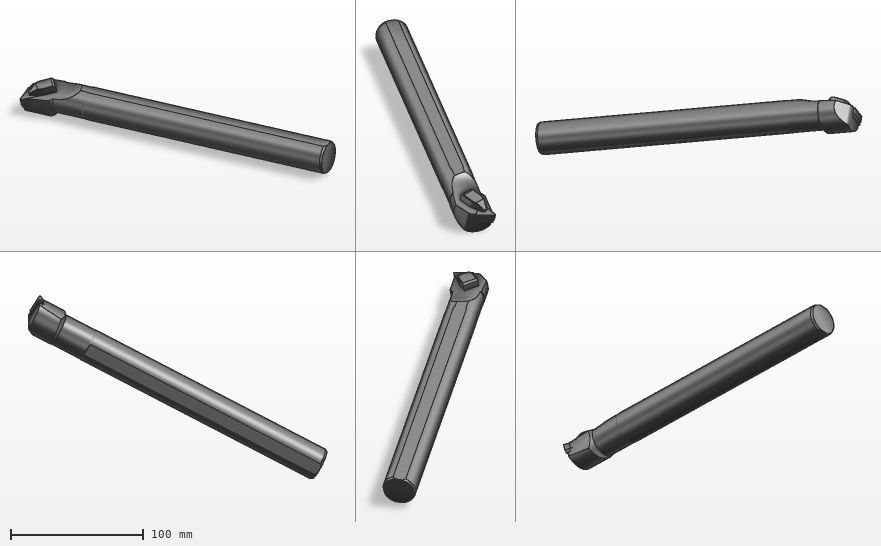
import cadquery as cq
import math


total_length = 250.0
shank_diameter = 25.0
flat_distance = 11.5
shank_start = 50.0
start_chamfer_length = 1.0
end_chamfer_length = 1.8
end_chamfer_depth = 0.8
neck_diameter = 24.5
neck_start = 25.2

head_radius = 14.8
head_offset_y = -2.2
shoulder_angle = 45.0
head_front = 1.0
corner_start_y = 3.0
corner_angle = 40.0
corner_radius = 4.0
side_face_y = -15.5
side_face_angle = 3.4
head_reach = 40.0

top_height = 3.0
front_tilt = 6.3
side_tilt = 11.3

clearance_x = 9.5
clearance_y = -1.5
clearance_radius = 21.8
runout_radius = 25.0
runout_angle = 60.0
clearance_depth = 20.0

insert_edge = 16.5
insert_tip_y = -17.8
insert_nose_radius = 0.6
insert_thickness = 4.8
shim_inset = 0.2
shim_thickness = 2.5

clamp_heel = (21.0, 2.2)
clamp_angle = 216.0
clamp_length = 20.5
clamp_width = 11.8
clamp_nose_width = 3.8
clamp_straight = 11.0
clamp_bend_radius = 9.0
clamp_height = 5.8
nose_height = 1.8
nose_slope_length = 6.8
heel_chamfer_length = 2.0
heel_chamfer_height = 1.2
clamp_edge_chamfer = 0.5

front_slope = math.tan(math.radians(front_tilt))
side_slope = math.tan(math.radians(side_tilt))


def top_face_plane(height=0.0):
    """Plane parallel to the head's top face; its local y axis has no X component."""
    plane = cq.Plane(
        origin=(0, 0, top_height),
        xDir=(1 + side_slope**2, -front_slope * side_slope, front_slope),
        normal=(-front_slope, -side_slope, 1),
    )
    return cq.Plane(plane.toWorldCoords((0, 0, height)), plane.xDir, plane.zDir)


def make_shank():
    radius = shank_diameter / 2
    profile = [
        (shank_start, 0),
        (shank_start, neck_diameter / 2),
        (shank_start + start_chamfer_length, radius),
        (total_length - end_chamfer_length, radius),
        (total_length, radius - end_chamfer_depth),
        (total_length, 0),
    ]
    shank = cq.Workplane("XY").polyline(profile).close().revolve(360, (0, 0, 0), (1, 0, 0))
    between_flats = cq.Workplane("XY").box(2 * total_length, shank_diameter, 2 * flat_distance)
    return shank.intersect(between_flats)


def make_neck():
    neck = cq.Workplane("YZ", origin=(neck_start, 0, 0)).circle(neck_diameter / 2)
    neck = neck.extrude(shank_start - neck_start)
    top_offcut = cq.Workplane("XY", origin=(0, 0, flat_distance))
    top_offcut = top_offcut.rect(2 * total_length, shank_diameter).extrude(shank_diameter)
    return neck.cut(top_offcut)


def make_head_trim():
    """Prism square to the top face, with the head's front, corner and side faces."""
    corner_rise = math.tan(math.radians(corner_angle))
    side_rise = math.tan(math.radians(side_face_angle))
    outline = [
        (head_front, side_face_y),
        (head_front, corner_start_y),
        (head_reach, corner_start_y + corner_rise * (head_reach - head_front)),
        (head_reach, side_face_y + side_rise * (head_reach - head_front)),
    ]
    prism = cq.Workplane(top_face_plane(-head_reach)).polyline(outline).close().extrude(2 * head_reach)
    corner_point = top_face_plane().toWorldCoords((*outline[1], 0))
    edge = cq.selectors.NearestToPointSelector(corner_point.toTuple())
    return prism.edges(edge).fillet(corner_radius)


def make_head():
    blank = cq.Workplane("YZ").center(head_offset_y, 0).circle(head_radius).extrude(neck_start)
    neck_radius = neck_diameter / 2
    front_radius = neck_radius + neck_start * math.tan(math.radians(shoulder_angle))
    cone_profile = [(0, 0), (0, front_radius), (neck_start, neck_radius), (neck_start, 0)]
    cone = cq.Workplane("XY").polyline(cone_profile).close().revolve(360, (0, 0, 0), (1, 0, 0))
    return blank.intersect(cone).intersect(make_head_trim())


def make_clearance():
    """Cutter shape: flat disc bottom on the top face, then a tangent concave run-out."""
    turn = math.radians(runout_angle)

    def runout_point(angle):
        return (
            clearance_radius + runout_radius * math.sin(angle),
            runout_radius * (1 - math.cos(angle)),
        )

    rim_radius = runout_point(turn)[0]
    plane = top_face_plane()
    centre = plane.toWorldCoords((clearance_x, clearance_y, 0))
    section = cq.Plane(centre, plane.xDir, -plane.yDir)
    return (
        cq.Workplane(section)
        .lineTo(clearance_radius, 0)
        .threePointArc(runout_point(turn / 2), runout_point(turn))
        .lineTo(rim_radius, clearance_depth)
        .lineTo(0, clearance_depth)
        .close()
        .revolve(360, (0, 0, 0), (0, 1, 0))
    )


def make_triangle(inset, top, thickness):
    """Rounded triangular plate with one edge along the front, its top face at the given height."""
    edge = insert_edge - 2 * inset * math.sqrt(3)
    tip_y = insert_tip_y + inset * math.sqrt(3)
    corners = [
        (inset, tip_y),
        (inset, tip_y + edge),
        (inset + edge * math.sqrt(3) / 2, tip_y + edge / 2),
    ]
    plate = cq.Workplane(top_face_plane(top - thickness)).polyline(corners).close().extrude(thickness)
    local_up = cq.selectors.ParallelDirSelector(top_face_plane().zDir)
    return plate.edges(local_up).fillet(insert_nose_radius)


def make_clamp():
    """Clamp finger: tapered outline from above, cut to a sloping nose and a chamfered heel."""
    plane = top_face_plane()
    turn = math.radians(clamp_angle)
    along = plane.xDir * math.cos(turn) + plane.yDir * math.sin(turn)
    base = cq.Plane(plane.toWorldCoords((*clamp_heel, 0)), along, plane.zDir)
    half_width = clamp_width / 2
    half_nose = clamp_nose_width / 2
    outline = [
        (0, -half_width),
        (clamp_straight, -half_width),
        (clamp_length, -half_nose),
        (clamp_length, half_nose),
        (clamp_straight, half_width),
        (0, half_width),
    ]
    body = cq.Workplane(base).polyline(outline).close().extrude(clamp_height)
    for side in (-half_width, half_width):
        bend = base.toWorldCoords((clamp_straight, side, clamp_height / 2))
        body = body.edges(cq.selectors.NearestToPointSelector(bend.toTuple())).fillet(clamp_bend_radius)
    side_profile = [
        (0, 0),
        (clamp_length, 0),
        (clamp_length, nose_height),
        (clamp_length - nose_slope_length, clamp_height),
        (heel_chamfer_length, clamp_height),
        (0, clamp_height - heel_chamfer_height),
    ]
    side_plane = cq.Plane(base.origin, base.xDir, -base.yDir)
    profile = cq.Workplane(side_plane).polyline(side_profile).close().extrude(clamp_width, both=True)
    body = body.intersect(profile)

    slope_middle = (clamp_length - nose_slope_length / 2, 0, (clamp_height + nose_height) / 2)
    top_middle = (clamp_straight / 2, 0, clamp_height)
    lengthwise = -cq.selectors.ParallelDirSelector(base.yDir)
    long_edges = []
    for middle in (slope_middle, top_middle):
        point = base.toWorldCoords(middle).toTuple()
        face = body.faces(cq.selectors.NearestToPointSelector(point))
        long_edges += face.edges(lengthwise).vals()
    return body.newObject(long_edges).chamfer(clamp_edge_chamfer)


insert = make_triangle(0, 0, insert_thickness)
shim = make_triangle(shim_inset, -insert_thickness, shim_thickness)

holder = make_shank().union(make_neck()).union(make_head())
holder = holder.cut(make_clearance()).union(shim).cut(insert).union(make_clamp())

result = cq.Compound.makeCompound([holder.val(), insert.val()])